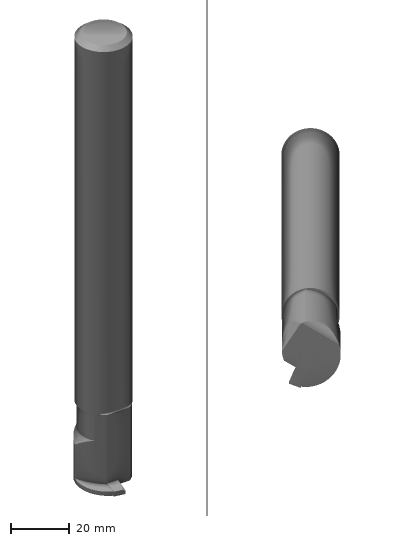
import cadquery as cq
import math

TOTAL_LENGTH = 180
SHANK_DIAMETER = 20.0
SHANK_BOTTOM = 30.0
TOP_CHAMFER_WIDTH = 2.0
TOP_CHAMFER_HEIGHT = 1.6
RUNOUT_WIDTH = 2.9
RUNOUT_HEIGHT = 1.3

BODY_BOTTOM = 0.09
SWING_RADIUS = 11.97
SWING_CENTRE_X = 3.0
NECK_HALF_DEPTH = 9.4
FRONT_RADIUS = 10.0
BACK_RADIUS = 10.8
NECK_CENTRE_X = 0.4
FLANK_MIDDLE = (6.1, -7.5)
FLANK_END = (8.91, -4.5)
FOOT_TOP = 1.8
STEP_TOP = 19.0
STEP_DROP = 3.5
LEFT_ROUND_RADIUS = 3.6
BACK_CUT_WIDTH = 1.8
BACK_CUT_HEIGHT = 8.6

INSERT_TIP = (15.21, -0.7)
INSERT_LENGTH = 19.8
INSERT_WIDTH = 4.3
INSERT_HEIGHT = 2.0
INSERT_ANGLE = -8
TIP_RELIEF = 0.2
TIP_FACET_LENGTH = 3.2
TIP_FACET_WIDTH = 1.3
TIP_FACET_DROP = 0.5

SHANK_RADIUS = SHANK_DIAMETER / 2
FLANK_START_Y = -math.sqrt(SWING_RADIUS**2 - SWING_CENTRE_X**2)
SPAN = 4 * SHANK_DIAMETER


def cylinder(radius, bottom, top, centre_x=0):
    return cq.Workplane("XY", origin=(centre_x, 0, bottom)).circle(radius).extrude(top - bottom)


def side_prism(plane, points):
    """Prism with a triangular or other straight outline, running across the whole part."""
    return cq.Workplane(plane).polyline(points).close().extrude(SPAN / 2, both=True)


def make_shank():
    profile = [
        (0, SHANK_BOTTOM),
        (SHANK_RADIUS, SHANK_BOTTOM),
        (SHANK_RADIUS, TOTAL_LENGTH - TOP_CHAMFER_HEIGHT),
        (SHANK_RADIUS - TOP_CHAMFER_WIDTH, TOTAL_LENGTH),
        (0, TOTAL_LENGTH),
    ]
    shank = cq.Workplane("XZ").polyline(profile).close().revolve(360, (0, 0), (0, 1))
    runout = [
        (SHANK_RADIUS - RUNOUT_WIDTH, SHANK_BOTTOM),
        (SHANK_RADIUS, SHANK_BOTTOM),
        (SHANK_RADIUS, SHANK_BOTTOM + RUNOUT_HEIGHT),
    ]
    return shank.cut(side_prism("XZ", runout))


def make_envelope():
    """Two arched neck sides, of which the -Y one widens downwards along a cone."""
    front_offset = FRONT_RADIUS - NECK_HALF_DEPTH
    back_offset = NECK_HALF_DEPTH - BACK_RADIUS
    slope = STEP_DROP / (-FLANK_START_Y - NECK_HALF_DEPTH)
    wide_radius = SWING_RADIUS + front_offset + NECK_CENTRE_X + SWING_CENTRE_X
    cone_bottom = STEP_TOP - slope * (wide_radius - FRONT_RADIUS)
    profile = [
        (0, 0),
        (wide_radius, 0),
        (wide_radius, cone_bottom),
        (FRONT_RADIUS, STEP_TOP),
        (0, STEP_TOP),
    ]
    cone = cq.Workplane("XZ").polyline(profile).close().revolve(360, (0, 0), (0, 1))
    front = cylinder(FRONT_RADIUS, 0, SHANK_BOTTOM, NECK_CENTRE_X)
    front = front.union(cone.translate((NECK_CENTRE_X, 0, 0))).translate((0, front_offset, 0))
    back = cylinder(BACK_RADIUS, 0, SHANK_BOTTOM, NECK_CENTRE_X).translate((0, back_offset, 0))
    return front.intersect(half_space(-1)).union(back.intersect(half_space(1)))


def half_space(side):
    """Large block on the +Y (1) or -Y (-1) side of the bar axis."""
    return cq.Workplane("XY").rect(SPAN, SPAN / 2).extrude(SHANK_BOTTOM).translate((0, side * SPAN / 4, 0))


def make_flank():
    """Region left of the curved flank that clears chips on the +X side."""
    return (
        cq.Workplane("XY")
        .moveTo(0, FLANK_START_Y)
        .threePointArc(FLANK_MIDDLE, FLANK_END)
        .lineTo(FLANK_END[0], SWING_RADIUS)
        .lineTo(-SWING_RADIUS, SWING_RADIUS)
        .lineTo(-SWING_RADIUS, -SWING_RADIUS)
        .lineTo(0, -SWING_RADIUS)
        .close()
        .extrude(SHANK_BOTTOM)
    )


def make_foot():
    """Thin crescent under the insert, bounded by the swing circle."""
    disc = cylinder(SWING_RADIUS, BODY_BOTTOM, FOOT_TOP, SWING_CENTRE_X)
    below_insert = (
        insert_plane()
        .moveTo(-SPAN / 2, -INSERT_WIDTH)
        .rect(SPAN, -SPAN, centered=False)
        .extrude(TOTAL_LENGTH)
    )
    return disc.intersect(below_insert)


def end_cuts():
    """Rounded cut at the bottom of the -X side and slanted relief on the +Y side."""
    left = SWING_CENTRE_X - SWING_RADIUS
    left_cut = (
        cq.Workplane("XZ")
        .moveTo(left, LEFT_ROUND_RADIUS)
        .radiusArc((left + LEFT_ROUND_RADIUS, 0), -LEFT_ROUND_RADIUS)
        .lineTo(left, 0)
        .close()
        .extrude(SPAN / 2, both=True)
    )
    back_cut = [
        (NECK_HALF_DEPTH, BODY_BOTTOM),
        (NECK_HALF_DEPTH - BACK_CUT_WIDTH, BODY_BOTTOM),
        (NECK_HALF_DEPTH, BODY_BOTTOM + BACK_CUT_HEIGHT),
    ]
    return left_cut.union(side_prism("YZ", back_cut))


def insert_plane():
    """Workplane at the cutting tip, with its x axis along the insert."""
    return cq.Workplane("XY").transformed(offset=(*INSERT_TIP, 0), rotate=(0, 0, INSERT_ANGLE))


def tip_facet():
    """Corner wedge whose slanted face falls towards the cutting tip."""
    tip = cq.Vector(0, 0, INSERT_HEIGHT)
    corners = [
        tip,
        tip + cq.Vector(-TIP_FACET_LENGTH, 0, 0),
        tip + cq.Vector(0, -TIP_FACET_WIDTH, 0),
        tip + cq.Vector(0, 0, -TIP_FACET_DROP),
    ]
    triangles = [(0, 1, 2), (0, 1, 3), (0, 2, 3), (1, 2, 3)]
    faces = []
    for triangle in triangles:
        outline = cq.Wire.makePolygon([corners[index] for index in triangle], close=True)
        faces.append(cq.Face.makeFromWires(outline))
    wedge = cq.Solid.makeSolid(cq.Shell.makeShell(faces))
    return wedge.moved(cq.Location(insert_plane().plane))


def make_insert():
    outline = [
        (0, 0),
        (-INSERT_LENGTH, 0),
        (-INSERT_LENGTH, -INSERT_WIDTH),
        (-TIP_RELIEF, -INSERT_WIDTH),
    ]
    bar = insert_plane().polyline(outline).close().extrude(INSERT_HEIGHT)
    return bar.cut(tip_facet())


def make_holder(insert):
    swing = cylinder(SWING_RADIUS, BODY_BOTTOM, SHANK_BOTTOM, SWING_CENTRE_X)
    neck = make_envelope().intersect(swing).intersect(make_flank())
    cutting_end = neck.union(make_foot()).cut(end_cuts())
    return make_shank().union(cutting_end).cut(insert)


insert = make_insert()
holder = make_holder(insert)
result = cq.Compound.makeCompound([holder.val(), insert.val()])